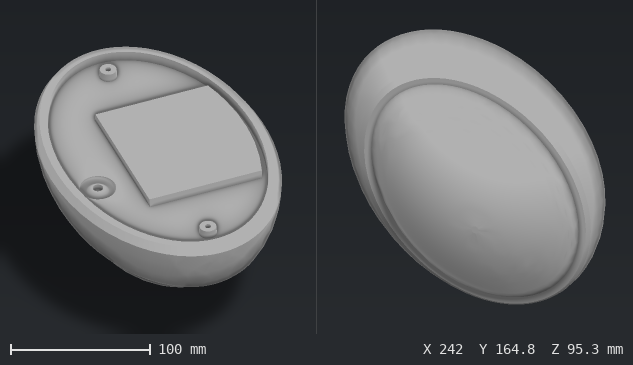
import cadquery as cq
import math

LENGTH = 242.0
WIDTH = 164.8
HEIGHT = 95.3
HALF_LENGTH = LENGTH / 2
HALF_WIDTH = WIDTH / 2

TOP_CHAMFER_DEPTH = 5.8
TOP_CHAMFER_INSET = 3.9
BULGE_END_DEPTH = 42.4
BULGE_RADIUS = 67.8
BULGE_SECTIONS = 5
HOUSING_DEPTH = 46.2
LOWER_CHAMFER_INSET = 3.6

DOME_RADIUS_X = 128.3
DOME_RADIUS_Y = 65.0
DOME_SECTIONS = 8
DOME_TIP_FRACTION = 0.03
DOME_HEIGHT = HEIGHT - HOUSING_DEPTH

RIM_WIDTH = 9.7
RECESS_DRAFT_INSET = 0.7
RECESS_DEPTH = 7.3

PLATE_HALF_WIDTH = 52.8
PLATE_FRONT_Y = -27.5
PLATE_HEIGHT = 6.3
PLATE_RIM_GAP = 4.8
PLATE_SIDE_DRAFT = 1.2

POST_X = 95.0
POST_BASE_DIAMETER = 13.0
POST_TOP_DIAMETER = 12.0
POST_HEIGHT = 6.3
POST_HOLE_DIAMETER = 4.4

SOCKET_X = 18.5
SOCKET_Y = -54.0
SOCKET_DIAMETER = 26.1
SOCKET_VALLEY_DIAMETER = 16.5
SOCKET_DEPTH = 3.0
BOSS_TOP_DIAMETER = 9.2
BOSS_TOP_DEPTH = 0.2
SOCKET_HOLE_DIAMETER = 7.5
SOCKET_HOLE_DEPTH = 4.8


def ellipse_wire(half_x, half_y, z):
    """Elliptical wire centred on the Z axis."""
    return cq.Workplane("XY", origin=(0, 0, z)).ellipse(half_x, half_y).wires().val()


def inset_ellipse(inset, z):
    """The outer ellipse with both half axes reduced by the inset."""
    return ellipse_wire(HALF_LENGTH - inset, HALF_WIDTH - inset, z)


def loft(wires, ruled=False):
    return cq.Workplane(cq.Solid.makeLoft(wires, ruled))


def bulge_inset(depth):
    """Inward step of the wall along an arc that starts vertical."""
    drop = depth - TOP_CHAMFER_DEPTH
    return BULGE_RADIUS - math.sqrt(BULGE_RADIUS**2 - drop**2)


def make_housing():
    chamfer = loft([inset_ellipse(TOP_CHAMFER_INSET, 0), inset_ellipse(0, -TOP_CHAMFER_DEPTH)], True)
    step = (BULGE_END_DEPTH - TOP_CHAMFER_DEPTH) / (BULGE_SECTIONS - 1)
    depths = [TOP_CHAMFER_DEPTH + i * step for i in range(BULGE_SECTIONS)]
    bulge = loft([inset_ellipse(bulge_inset(depth), -depth) for depth in depths])
    end_inset = bulge_inset(BULGE_END_DEPTH)
    lower_chamfer = loft(
        [
            inset_ellipse(end_inset, -BULGE_END_DEPTH),
            inset_ellipse(end_inset + LOWER_CHAMFER_INSET, -HOUSING_DEPTH),
        ],
        True,
    )
    return chamfer.union(bulge).union(lower_chamfer)


def dome_section(fraction):
    """Section at a square-law height, so the half axes grow almost evenly."""
    rise = DOME_HEIGHT * fraction**2
    half_x = math.sqrt(2 * DOME_RADIUS_X * rise - rise**2)
    half_y = math.sqrt(2 * DOME_RADIUS_Y * rise - rise**2)
    return ellipse_wire(half_x, half_y, rise - HEIGHT)


def make_dome():
    step = (1 - DOME_TIP_FRACTION) / (DOME_SECTIONS - 1)
    return loft([dome_section(1 - i * step) for i in range(DOME_SECTIONS)])


def make_recess():
    floor_inset = RIM_WIDTH + RECESS_DRAFT_INSET
    return loft([inset_ellipse(RIM_WIDTH, 0), inset_ellipse(floor_inset, -RECESS_DEPTH)], True)


def make_plate():
    """Plate with drafted straight sides and a back edge that follows the rim."""
    top_half = PLATE_HALF_WIDTH - PLATE_SIDE_DRAFT
    sides = (
        cq.Workplane("XZ", origin=(0, PLATE_FRONT_Y, -RECESS_DEPTH))
        .polyline(
            [
                (-PLATE_HALF_WIDTH, 0),
                (PLATE_HALF_WIDTH, 0),
                (top_half, PLATE_HEIGHT),
                (-top_half, PLATE_HEIGHT),
            ]
        )
        .close()
        .extrude(-WIDTH)
    )
    inset = RIM_WIDTH + PLATE_RIM_GAP
    back_limit = loft(
        [inset_ellipse(inset, -RECESS_DEPTH), inset_ellipse(inset, PLATE_HEIGHT - RECESS_DEPTH)], True
    )
    return sides.intersect(back_limit)


def make_post(x):
    base = cq.Workplane("XY", origin=(x, 0, -RECESS_DEPTH))
    post = (
        base.circle(POST_BASE_DIAMETER / 2)
        .workplane(offset=POST_HEIGHT)
        .circle(POST_TOP_DIAMETER / 2)
        .loft(ruled=True)
    )
    hole = base.circle(POST_HOLE_DIAMETER / 2).extrude(POST_HEIGHT)
    return post.cut(hole)


def make_socket():
    """Cutter for the dish around the boss, together with the blind hole."""
    outer = SOCKET_DIAMETER / 2
    valley = SOCKET_VALLEY_DIAMETER / 2
    wall_run = outer - valley
    arc_radius = (wall_run**2 + SOCKET_DEPTH**2) / (2 * wall_run)
    mid_x = outer - arc_radius + arc_radius * math.cos(math.pi / 4)
    mid_z = -arc_radius * math.sin(math.pi / 4)
    return (
        cq.Workplane("XZ", origin=(SOCKET_X, SOCKET_Y, -RECESS_DEPTH))
        .moveTo(0, 0)
        .lineTo(outer, 0)
        .threePointArc((mid_x, mid_z), (valley, -SOCKET_DEPTH))
        .lineTo(BOSS_TOP_DIAMETER / 2, -BOSS_TOP_DEPTH)
        .lineTo(SOCKET_HOLE_DIAMETER / 2, -BOSS_TOP_DEPTH)
        .lineTo(SOCKET_HOLE_DIAMETER / 2, -SOCKET_HOLE_DEPTH)
        .lineTo(0, -SOCKET_HOLE_DEPTH)
        .close()
        .revolve(360, (0, 0, 0), (0, 1, 0))
    )


body = make_housing().union(make_dome())
body = body.cut(make_recess()).cut(make_socket()).union(make_plate())
for side in (-1, 1):
    body = body.union(make_post(side * POST_X))

result = body